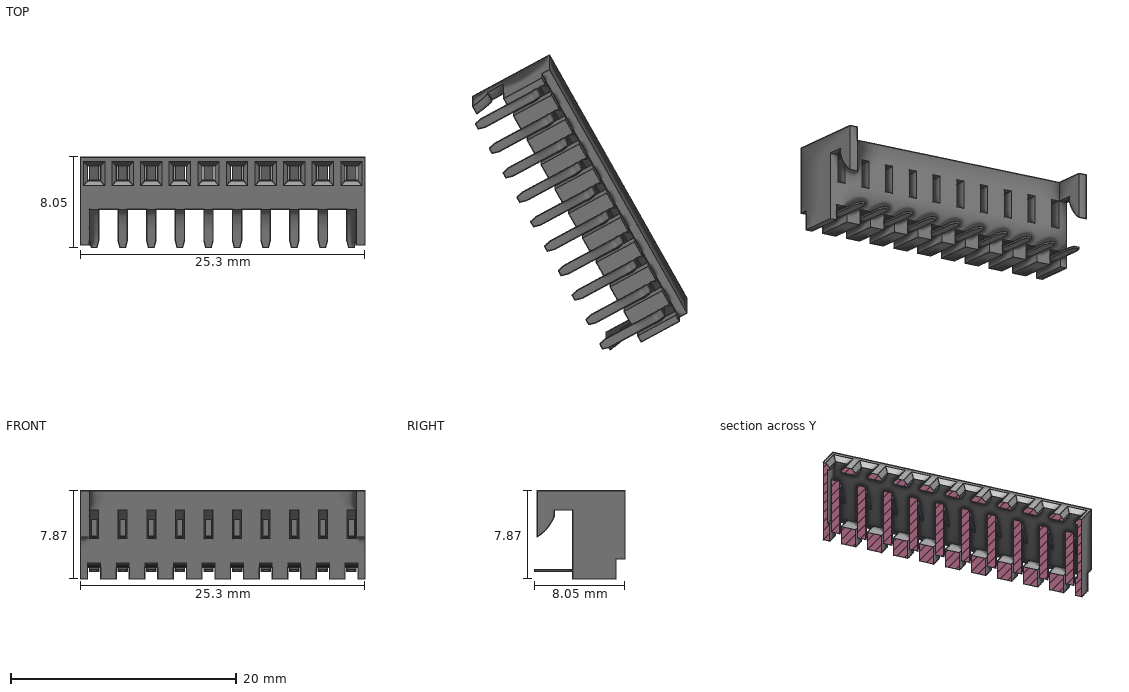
import cadquery as cq
import math

LENGTH = 25.3
HEIGHT = 7.87
BODY_DEPTH = 4.65
STEP_DEPTH = 0.78
STEP_HEIGHT = 1.77

POSITIONS = 10
END_MARGIN = 1.21
PITCH = (LENGTH - 2 * END_MARGIN) / (POSITIONS - 1)

ARM_THICKNESS = 0.78
ARM_REACH = 7.82
ARM_HEIGHT = 1.75
HOOK_START = 6.27
HOOK_DROP = 4.12
HOOK_EDGE = 0.5
HOOK_BULGE = 0.2

MOUTH_WIDTH = 1.9
MOUTH_BACK = 0.38
MOUTH_FRONT = 2.53
MOUTH_DEPTH = 0.4
CHANNEL_WIDTH = 1.15
CHANNEL_BACK = 0.8
CHANNEL_FRONT = 2.13

LIP_HEIGHT = 0.25
CAVITY_FRONT = 2.05
CAVITY_END_GAP = 0.18
CAVITY_LENGTH = (POSITIONS - 1) * PITCH + CHANNEL_WIDTH + 2 * CAVITY_END_GAP
CAVITY_TOP = HEIGHT - MOUTH_DEPTH - LIP_HEIGHT

WINDOW_WIDTH = 0.75
WINDOW_TOP = HEIGHT - ARM_HEIGHT
WINDOW_BOTTOM = 3.6

NOTCH_HEIGHT = 1.45
BAR_RADIUS = 0.4
BEND_CLEARANCE = 0.18

PIN_WIDTH = 0.83
PIN_THICKNESS = 0.18
PIN_REACH = 8.05
TIP_WIDTH = 0.5
TIP_LENGTH = 0.63
LEG_TOP = 6.32
SPRING_DROP = 2.53
LANCE_WIDTH = 0.5
LANCE_TOP = 5.3
LANCE_TIP = 3.85
LANCE_REACH = 0.63

BEND_RADIUS = BAR_RADIUS + BEND_CLEARANCE
BEND_Y = -(CAVITY_FRONT + BEND_RADIUS)
CONTACT_XS = [(i - (POSITIONS - 1) / 2) * PITCH for i in range(POSITIONS)]


def side_plate(profile, x_center, width):
    """Extrude a closed YZ profile to a plate centred on x_center."""
    return profile.extrude(width / 2, both=True).translate((x_center, 0, 0))


def block(x_center, width, y_back, y_front, z_low, z_high):
    """Box given by its distances behind the back face and its height range."""
    return cq.Workplane("XY").box(
        width, y_front - y_back, z_high - z_low, centered=(True, False, False)
    ).translate((x_center, -y_front, z_low))


def housing_body():
    profile = (
        cq.Workplane("YZ")
        .moveTo(0, HEIGHT)
        .lineTo(-BODY_DEPTH, HEIGHT)
        .lineTo(-BODY_DEPTH, 0)
        .lineTo(-STEP_DEPTH, 0)
        .lineTo(-STEP_DEPTH, STEP_HEIGHT)
        .lineTo(0, STEP_HEIGHT)
        .close()
    )
    return side_plate(profile, 0, LENGTH)


def latch_arm(x_center):
    arm_underside = HEIGHT - ARM_HEIGHT
    hook_tip = HEIGHT - HOOK_DROP
    profile = (
        cq.Workplane("YZ")
        .moveTo(-BODY_DEPTH, HEIGHT)
        .lineTo(-ARM_REACH, HEIGHT)
        .lineTo(-ARM_REACH, hook_tip)
        .sagittaArc((-HOOK_START, arm_underside - HOOK_EDGE), -HOOK_BULGE)
        .lineTo(-HOOK_START, arm_underside)
        .lineTo(-BODY_DEPTH, arm_underside)
        .close()
    )
    return side_plate(profile, x_center, ARM_THICKNESS)


def socket_mouth(x):
    """Tapered lead-in from the top face down to the channel."""
    mouth_middle = -(MOUTH_BACK + MOUTH_FRONT) / 2
    channel_middle = -(CHANNEL_BACK + CHANNEL_FRONT) / 2
    return (
        cq.Workplane("XY", origin=(x, mouth_middle, HEIGHT))
        .rect(MOUTH_WIDTH, MOUTH_FRONT - MOUTH_BACK)
        .workplane(offset=-MOUTH_DEPTH)
        .center(0, channel_middle - mouth_middle)
        .rect(CHANNEL_WIDTH, CHANNEL_FRONT - CHANNEL_BACK)
        .loft(ruled=True)
    )


def position_cutter(x):
    """Everything removed from the housing at one contact position."""
    channel = block(x, CHANNEL_WIDTH, CHANNEL_BACK, CHANNEL_FRONT, CAVITY_TOP, HEIGHT)
    well = block(x, CHANNEL_WIDTH, CHANNEL_BACK, CAVITY_FRONT, 0, CAVITY_TOP)
    window = block(x, WINDOW_WIDTH, CAVITY_FRONT, BODY_DEPTH, WINDOW_BOTTOM, WINDOW_TOP)
    notch = block(x, CHANNEL_WIDTH, STEP_DEPTH, BODY_DEPTH, 0, NOTCH_HEIGHT)
    half_disc = (
        cq.Workplane("YZ")
        .moveTo(BEND_Y - BAR_RADIUS, NOTCH_HEIGHT)
        .threePointArc((BEND_Y, NOTCH_HEIGHT - BAR_RADIUS), (BEND_Y + BAR_RADIUS, NOTCH_HEIGHT))
        .close()
    )
    bar = side_plate(half_disc, x, CHANNEL_WIDTH)
    return notch.cut(bar).union(channel).union(well).union(window).union(socket_mouth(x))


def inner_cavity():
    return block(0, CAVITY_LENGTH, CHANNEL_BACK, CAVITY_FRONT, STEP_HEIGHT, CAVITY_TOP)


def contact_strip(x):
    """Pin, bend, upright leg and the spring sloping back from the top of the leg."""
    pin_top = NOTCH_HEIGHT - BEND_RADIUS
    outer_radius = BEND_RADIUS + PIN_THICKNESS
    leg_front = -CAVITY_FRONT
    leg_back = leg_front + PIN_THICKNESS
    diagonal = math.sqrt(0.5)
    spring_slope = SPRING_DROP / (CAVITY_FRONT - CHANNEL_BACK)
    spring_height = PIN_THICKNESS * math.sqrt(1 + spring_slope**2)
    spring_root = LEG_TOP - spring_slope * PIN_THICKNESS
    spring_end = LEG_TOP - SPRING_DROP
    profile = (
        cq.Workplane("YZ")
        .moveTo(-PIN_REACH, pin_top)
        .lineTo(BEND_Y, pin_top)
        .threePointArc(
            (BEND_Y + BEND_RADIUS * diagonal, NOTCH_HEIGHT - BEND_RADIUS * diagonal),
            (leg_front, NOTCH_HEIGHT),
        )
        .lineTo(leg_front, LEG_TOP)
        .lineTo(-CHANNEL_BACK, spring_end)
        .lineTo(-CHANNEL_BACK, spring_end - spring_height)
        .lineTo(leg_back, spring_root - spring_height)
        .lineTo(leg_back, NOTCH_HEIGHT)
        .threePointArc(
            (BEND_Y + outer_radius * diagonal, NOTCH_HEIGHT - outer_radius * diagonal),
            (BEND_Y, pin_top - PIN_THICKNESS),
        )
        .lineTo(-PIN_REACH, pin_top - PIN_THICKNESS)
        .close()
    )
    return side_plate(profile, x, PIN_WIDTH)


def tip_trim(x):
    """Two wedges that narrow the pin toward its tip."""
    trim = cq.Workplane("XY")
    for side in (-1, 1):
        wedge = (
            cq.Workplane("XY")
            .moveTo(x + side * PIN_WIDTH / 2, -PIN_REACH)
            .lineTo(x + side * TIP_WIDTH / 2, -PIN_REACH)
            .lineTo(x + side * PIN_WIDTH / 2, -PIN_REACH + TIP_LENGTH)
            .close()
            .extrude(NOTCH_HEIGHT)
        )
        trim = trim.add(wedge)
    return trim.combine()


def lance(x):
    """Locking wedge on the leg, pointing forward into the window."""
    profile = (
        cq.Workplane("YZ")
        .moveTo(-CAVITY_FRONT, LANCE_TOP)
        .lineTo(-CAVITY_FRONT - LANCE_REACH, LANCE_TIP)
        .lineTo(-CAVITY_FRONT, WINDOW_BOTTOM)
        .close()
    )
    return side_plate(profile, x, LANCE_WIDTH)


def contact(x):
    return contact_strip(x).cut(tip_trim(x)).union(lance(x))


result = housing_body().cut(inner_cavity())
for end in (-1, 1):
    result = result.union(latch_arm(end * (LENGTH - ARM_THICKNESS) / 2))
for contact_x in CONTACT_XS:
    result = result.cut(position_cutter(contact_x)).union(contact(contact_x))